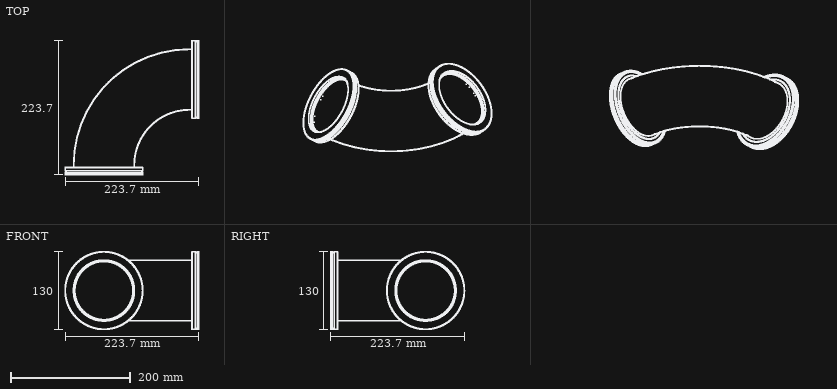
import cadquery as cq
import math

overall_length = 223.7
flange_diameter = 130.0
flange_radius = flange_diameter / 2
inlet_x = flange_radius
outlet_y = overall_length - flange_radius

flange_thickness = 12.0
front_chamfer = 0.5
back_chamfer = 0.7
bore_radius = 102.0 / 2
bore_depth = 4.5
lip_radius = 98.7 / 2
lip_length = 2.2
socket_start = bore_depth + lip_length

rim_groove_radius = 1.5
rim_groove_depth_from_face = 4.7

clamp_groove_outer_radius = 125.0 / 2
clamp_groove_floor_inner_radius = 112.5 / 2
clamp_groove_depth = 0.7

tube_outer_radius = 101.5 / 2
tube_inner_radius = 97.0 / 2
bend_start = 15.9
bend_radius = overall_length - flange_radius - bend_start
straight_length = bend_start - socket_start


def make_flange():
    """Flange turned about the Y axis, with its sealing face on Y = 0."""
    groove_front = rim_groove_depth_from_face - rim_groove_radius
    groove_back = rim_groove_depth_from_face + rim_groove_radius
    groove_bottom = flange_radius - rim_groove_radius
    clamp_floor_y = flange_thickness - clamp_groove_depth
    profile = (
        cq.Workplane("XY")
        .moveTo(bore_radius, 0)
        .lineTo(flange_radius - front_chamfer, 0)
        .lineTo(flange_radius, front_chamfer)
        .lineTo(flange_radius, groove_front)
        .threePointArc((groove_bottom, rim_groove_depth_from_face), (flange_radius, groove_back))
        .lineTo(flange_radius, flange_thickness - back_chamfer)
        .lineTo(flange_radius - back_chamfer, flange_thickness)
        .lineTo(clamp_groove_outer_radius, flange_thickness)
        .lineTo(clamp_groove_outer_radius - clamp_groove_depth, clamp_floor_y)
        .lineTo(clamp_groove_floor_inner_radius, clamp_floor_y)
        .lineTo(clamp_groove_floor_inner_radius - clamp_groove_depth, flange_thickness)
        .lineTo(tube_outer_radius, flange_thickness)
        .lineTo(tube_outer_radius, socket_start)
        .lineTo(lip_radius, socket_start)
        .lineTo(lip_radius, bore_depth)
        .lineTo(bore_radius, bore_depth)
        .close()
    )
    return profile.revolve(360, (0, 0, 0), (0, 1, 0))


def make_elbow():
    """Tube swept from the inlet socket, through the bend, to the outlet socket."""
    bend_centre_x = inlet_x + bend_radius
    bend_middle = (
        bend_centre_x - bend_radius * math.cos(math.pi / 4),
        bend_start + bend_radius * math.sin(math.pi / 4),
    )
    centreline = (
        cq.Workplane("XY")
        .moveTo(inlet_x, socket_start)
        .lineTo(inlet_x, bend_start)
        .threePointArc(bend_middle, (bend_centre_x, outlet_y))
        .lineTo(bend_centre_x + straight_length, outlet_y)
    )
    tube_end = cq.Workplane("XZ", origin=(inlet_x, socket_start, 0))
    return tube_end.circle(tube_outer_radius).circle(tube_inner_radius).sweep(centreline)


flange_placements = [
    (0, (inlet_x, 0, 0)),
    (90, (overall_length, outlet_y, 0)),
]
flanges = [
    make_flange().rotate((0, 0, 0), (0, 0, 1), angle).translate(position)
    for angle, position in flange_placements
]
elbow = make_elbow()

result = cq.Compound.makeCompound([elbow.val(), *[flange.val() for flange in flanges]])